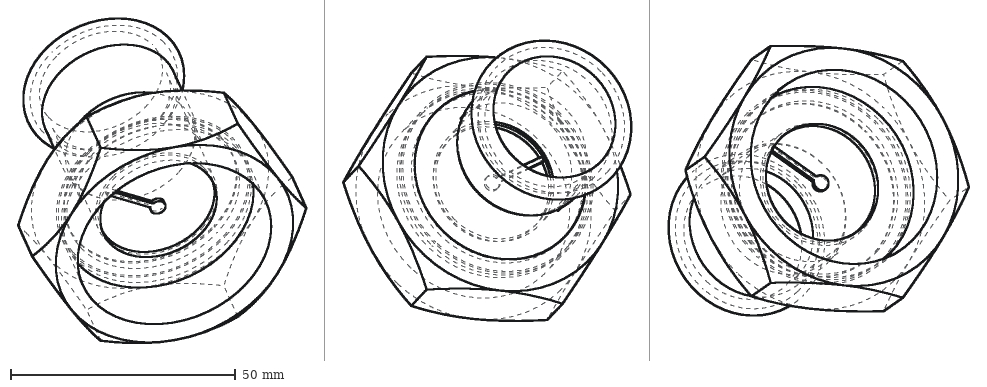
import cadquery as cq
import math


total_length = 61.0
across_corners = 63.5
across_flats = across_corners * math.cos(math.radians(30))

nut_length = 20.0
nut_start = total_length - nut_length
nut_hole_dia = 40.0
nut_thread_dia = 44.85
nut_lip_thickness = 2.55

socket_outer_r = 31.3 / 2
bore_r = 28.2 / 2
neck_outer_r = 30.0 / 2
step_start = 22.85
step_end = 24.7
flare_start = 35.25
flare_blend_r = 2.85
flare_angle = math.radians(45)
flange_dia = 44.0
flange_thickness = 2.55

bead_tube_r = 3.0
bead_centre_r = 15.55
bead_wall = 1.5
bead_cone_angle = math.radians(36.4)
lip_r = 28.8 / 2
lip_width = 1.5
lip_round = 0.4
hollow_blend_r = 1.7

gasket_thickness = 1.9
gasket_hole_dia = 27.0
disc_dia = 3.5
spoke_width = 1.15
spoke_thickness = 1.0
spoke_angle = 30.0

flange_start = nut_start + nut_lip_thickness
flange_end = flange_start + flange_thickness


def cylinder(diameter, start, length):
    return cq.Workplane("YZ", origin=(start, 0, 0)).circle(diameter / 2).extrude(length)


def bead_point(tube_r, angle):
    """Point on the bead section, with the angle measured from the radial direction toward +X."""
    return (bead_tube_r + tube_r * math.sin(angle), bead_centre_r + tube_r * math.cos(angle))


def cone_foot(cone_start, end_r):
    """Point where the bead cone, falling from cone_start, reaches the radius end_r."""
    x, r = cone_start
    return (x + (r - end_r) / math.tan(bead_cone_angle), end_r)


def revolve_about_x(profile):
    return profile.close().revolve(360, (0, 0, 0), (1, 0, 0))


def make_pipe():
    cone_start = bead_point(bead_tube_r, bead_cone_angle)
    blend_end = (
        flare_start + flare_blend_r * math.sin(flare_angle),
        neck_outer_r + flare_blend_r * (1 - math.cos(flare_angle)),
    )
    flare_end_r = nut_hole_dia / 2
    flare_end = blend_end[0] + (flare_end_r - blend_end[1]) / math.tan(flare_angle)
    body = revolve_about_x(
        cq.Workplane("XY")
        .moveTo(0, 0)
        .lineTo(0, bead_centre_r)
        .threePointArc(bead_point(bead_tube_r, math.radians(-45)), cone_start)
        .lineTo(*cone_foot(cone_start, socket_outer_r))
        .lineTo(step_start, socket_outer_r)
        .tangentArcPoint((step_end, neck_outer_r), relative=False)
        .lineTo(flare_start, neck_outer_r)
        .tangentArcPoint(blend_end, relative=False)
        .lineTo(flare_end, flare_end_r)
        .lineTo(flange_start, flare_end_r)
        .lineTo(flange_start, flange_dia / 2)
        .lineTo(flange_end, flange_dia / 2)
        .lineTo(flange_end, 0)
    )
    return body.cut(make_pipe_cavity())


def make_pipe_cavity():
    """Space inside the mouth: rounded lip, bead hollow and through bore."""
    hollow_r = bead_tube_r - bead_wall
    cone_start = bead_point(hollow_r, bead_cone_angle)
    foot_x, foot_r = cone_foot(cone_start, bore_r)
    blend_length = hollow_blend_r * math.tan(bead_cone_angle / 2)
    blend_start = (
        foot_x - blend_length * math.cos(bead_cone_angle),
        foot_r + blend_length * math.sin(bead_cone_angle),
    )
    lip_corner = lip_round * (1 - math.sqrt(0.5))
    return revolve_about_x(
        cq.Workplane("XY")
        .moveTo(0, 0)
        .lineTo(0, lip_r + lip_round)
        .threePointArc((lip_corner, lip_r + lip_corner), (lip_round, lip_r))
        .lineTo(lip_width - lip_round, lip_r)
        .threePointArc((lip_width - lip_corner, lip_r + lip_corner), (lip_width, lip_r + lip_round))
        .lineTo(lip_width, bead_centre_r)
        .threePointArc(bead_point(hollow_r, math.radians(-45)), cone_start)
        .lineTo(*blend_start)
        .tangentArcPoint((foot_x + blend_length, bore_r), relative=False)
        .lineTo(flange_end, bore_r)
        .lineTo(flange_end, 0)
    )


def make_nut():
    hexagon = cq.Workplane("YZ", origin=(nut_start, 0, 0)).polygon(6, across_corners).extrude(nut_length)
    corner_bevel = (across_corners - across_flats) / 2
    envelope = cylinder(across_corners, nut_start, nut_length).edges().chamfer(corner_bevel)
    hole = cylinder(nut_hole_dia, nut_start, nut_length)
    thread_bore = cylinder(nut_thread_dia, flange_start, total_length - flange_start)
    return hexagon.intersect(envelope).cut(hole).cut(thread_bore)


def make_gasket():
    ring = cylinder(flange_dia, flange_end, gasket_thickness).cut(
        cylinder(gasket_hole_dia, flange_end, gasket_thickness)
    )
    spoke_start = flange_end + (gasket_thickness - spoke_thickness) / 2
    disc = cylinder(disc_dia, spoke_start, spoke_thickness)
    spoke_length = (gasket_hole_dia + flange_dia) / 4
    spoke = (
        cq.Workplane("YZ", origin=(spoke_start, 0, 0))
        .center(-spoke_length / 2, 0)
        .rect(spoke_length, spoke_width)
        .extrude(spoke_thickness)
        .rotate((0, 0, 0), (1, 0, 0), -spoke_angle)
    )
    return ring.union(disc).union(spoke)


pipe = make_pipe()
nut = make_nut()
gasket = make_gasket()

result = cq.Compound.makeCompound([pipe.val(), nut.val(), gasket.val()])